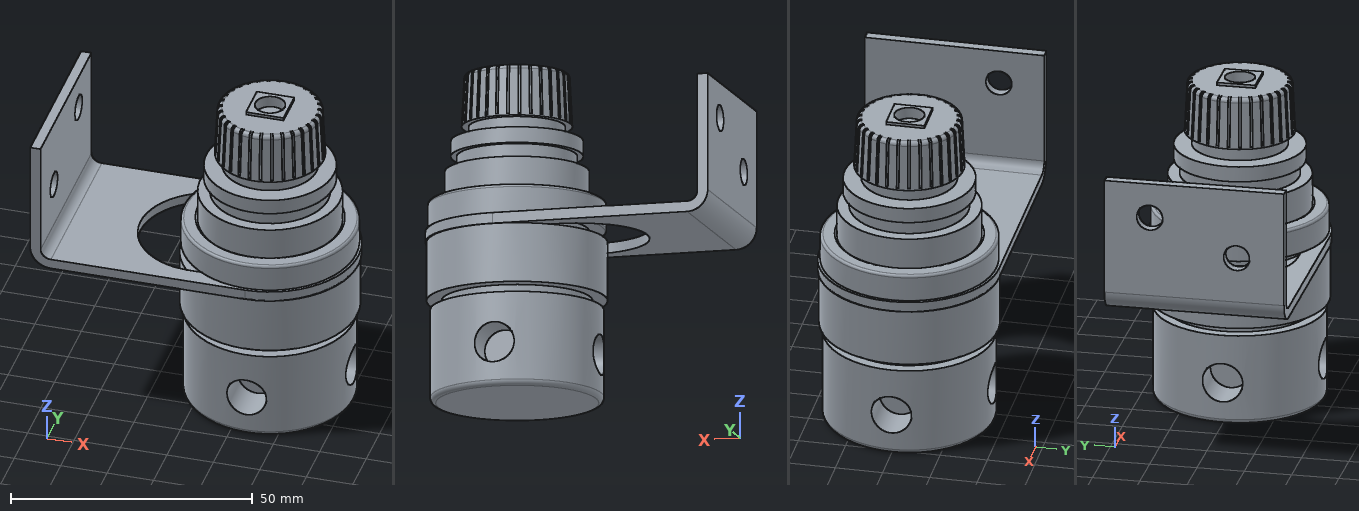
import cadquery as cq

base_top = 19.6
relief_top = 21.6
shoulder_top = 34.0
bonnet_top = 48.9
bonnet_groove_top = 52.15
collar_top = 55.45
neck_top = 58.45
knob_top = 69.5
stem_top = 70.1

base_diameter = 36.0
relief_diameter = 31.3
shoulder_diameter = 37.5
bonnet_diameter = 30.0
bonnet_groove_diameter = 25.0
collar_diameter = 27.5
neck_diameter = 20.0
base_fillet = 1.1

port_diameter = 8.5
port_height = 9.1
port_depth = 8.4
port_count = 4

knob_bottom_diameter = 23.0
knob_top_diameter = 21.9
knob_fillet = 0.9
knob_groove_count = 30
knob_groove_width = 0.5
knob_groove_depth = 0.15
knob_groove_bottom = 58.9

stem_side = 8.05
stem_hole_diameter = 6.3
stem_hole_depth = 2.5

bracket_width = 38.0
bracket_thickness = 2.25
bracket_reach = 46.2
bracket_top = 63.1
bend_inner_radius = 2.2
slot_length = 12.9
screw_hole_diameter = 5.5
screw_hole_centers = [(9.4, 55.6), (-9.0, 48.1)]

nut_diameter = 37.0
nut_top = 42.35
nut_top_fillet = 0.55
nut_bottom_fillet = 0.3
nut_bore_chamfer = 0.5

bracket_bottom = shoulder_top
bracket_floor_top = bracket_bottom + bracket_thickness


def disc(diameter, bottom, top):
    """Cylinder on the regulator axis between two levels."""
    return cq.Workplane("XY").workplane(offset=bottom).circle(diameter / 2).extrude(top - bottom)


def make_base():
    """Lowest drum, with a blind port on each of its four sides."""
    base = disc(base_diameter, 0, base_top).faces("<Z").edges().fillet(base_fillet)
    port = (
        cq.Workplane("YZ")
        .workplane(offset=base_diameter / 2 - port_depth)
        .center(0, port_height)
        .circle(port_diameter / 2)
        .extrude(port_depth)
    )
    for i in range(port_count):
        base = base.cut(port.rotate((0, 0, 0), (0, 0, 1), i * 360 / port_count))
    return base


def make_knob_form(inset):
    """Tapered drum with a rounded top edge, its side moved inward by an inset."""
    bottom_radius = knob_bottom_diameter / 2 - inset
    top_radius = knob_top_diameter / 2 - inset
    return (
        cq.Workplane("XZ")
        .polyline([(0, neck_top), (bottom_radius, neck_top), (top_radius, knob_top), (0, knob_top)])
        .close()
        .revolve(360, (0, 0), (0, 1))
        .faces(">Z").edges().fillet(knob_fillet)
    )


def make_knob():
    """Knob with shallow grip grooves that follow its side and its rounded edge."""
    knob = make_knob_form(0)
    groove = (
        cq.Workplane("XY").workplane(offset=knob_groove_bottom)
        .rect(knob_bottom_diameter / 2, knob_groove_width, centered=(False, True))
        .extrude(knob_top - knob_groove_bottom)
        .cut(make_knob_form(knob_groove_depth))
    )
    for i in range(knob_groove_count):
        knob = knob.cut(groove.rotate((0, 0, 0), (0, 0, 1), i * 360 / knob_groove_count))
    return knob


def make_regulator():
    """Base, shoulder, bonnet, knob and stem as one solid."""
    stem = (
        cq.Workplane("XY").workplane(offset=knob_top)
        .rect(stem_side, stem_side)
        .extrude(stem_top - knob_top)
    )
    stem_hole = disc(stem_hole_diameter, stem_top - stem_hole_depth, stem_top)
    return (
        make_base()
        .union(disc(relief_diameter, base_top, relief_top))
        .union(disc(shoulder_diameter, relief_top, shoulder_top))
        .union(disc(bonnet_diameter, shoulder_top, bonnet_top))
        .union(disc(bonnet_groove_diameter, bonnet_top, bonnet_groove_top))
        .union(disc(collar_diameter, bonnet_groove_top, collar_top))
        .union(disc(neck_diameter, collar_top, neck_top))
        .union(make_knob())
        .union(stem)
        .cut(stem_hole)
    )


def make_bracket():
    """Bent plate: a round-ended floor with a slot, and an upright with two screw holes."""
    half_width = bracket_width / 2
    bend_outer_radius = bend_inner_radius + bracket_thickness
    wall_inner_x = bracket_thickness - bracket_reach

    bent_plate = (
        cq.Workplane("XZ")
        .moveTo(half_width, bracket_bottom)
        .lineTo(bend_outer_radius - bracket_reach, bracket_bottom)
        .radiusArc((-bracket_reach, bracket_bottom + bend_outer_radius), bend_outer_radius)
        .lineTo(-bracket_reach, bracket_top)
        .lineTo(wall_inner_x, bracket_top)
        .lineTo(wall_inner_x, bracket_floor_top + bend_inner_radius)
        .radiusArc((wall_inner_x + bend_inner_radius, bracket_floor_top), -bend_inner_radius)
        .lineTo(half_width, bracket_floor_top)
        .close()
        .extrude(half_width, both=True)
    )

    plan = (
        cq.Workplane("XY").workplane(offset=bracket_bottom)
        .moveTo(-bracket_reach, -half_width)
        .lineTo(0, -half_width)
        .threePointArc((half_width, 0), (0, half_width))
        .lineTo(-bracket_reach, half_width)
        .close()
        .extrude(bracket_top - bracket_bottom)
    )

    slot = (
        cq.Workplane("XY").workplane(offset=bracket_bottom)
        .center(-slot_length / 2, 0)
        .slot2D(slot_length + bonnet_diameter, bonnet_diameter)
        .extrude(bracket_thickness)
    )

    screw_holes = (
        cq.Workplane("YZ").workplane(offset=-bracket_reach)
        .pushPoints(screw_hole_centers)
        .circle(screw_hole_diameter / 2)
        .extrude(bracket_thickness)
    )
    return bent_plate.intersect(plan).cut(slot).cut(screw_holes)


def make_ring_nut():
    """Nut around the bonnet, clamping the bracket against the shoulder."""
    nut = disc(nut_diameter, bracket_floor_top, nut_top)
    nut = nut.faces(">Z").edges().fillet(nut_top_fillet)
    nut = nut.faces("<Z").edges().fillet(nut_bottom_fillet)
    nut = nut.cut(disc(bonnet_diameter, bracket_floor_top, nut_top))
    bore_edge = cq.selectors.RadiusNthSelector(0)
    return nut.faces(">Z").edges(bore_edge).chamfer(nut_bore_chamfer)


regulator = make_regulator()
bracket = make_bracket()
ring_nut = make_ring_nut()

result = cq.Compound.makeCompound([regulator.val(), bracket.val(), ring_nut.val()])